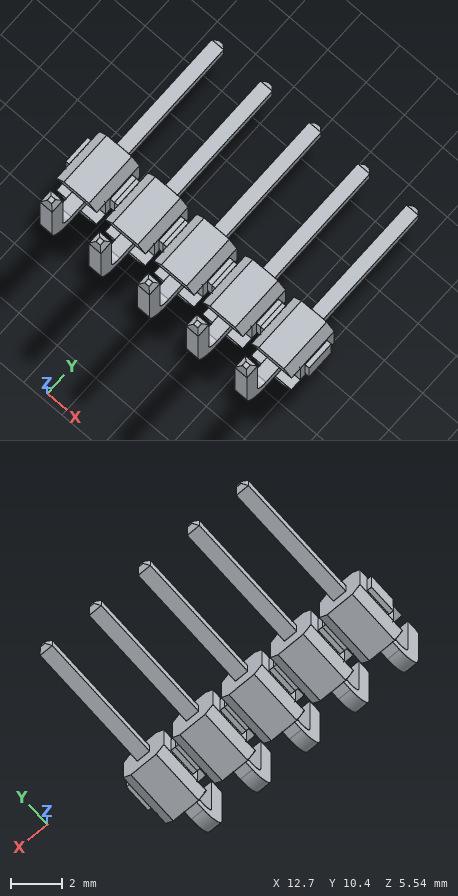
import cadquery as cq


positions = 5
overall_length = 12.7
pitch = overall_length / positions

block_width = 2.11
block_height = pitch
flange_depth = pitch
core_depth = 2.01
core_height = 1.74
bevel = (block_height - core_height) / 2

bar_depth = 1.31
bar_height = 1.33
bar_rear_gap = 0.43

pin_width = 0.64
pin_axis_z = 1.28
bend_inner_radius = 0.5
bend_outer_radius = bend_inner_radius + pin_width
overall_depth = 10.36
overall_height = 5.54
pin_front_reach = 4.34
pin_rear_reach = overall_depth - pin_front_reach
tip_taper = 0.2


def make_block(x):
    """Bevelled block, cut back between its flanges to leave an open front."""
    block = (
        cq.Workplane("XY")
        .box(block_width, flange_depth, block_height, centered=(True, False, False))
        .translate((x, -flange_depth, 0))
        .edges("|Y")
        .chamfer(bevel)
    )
    front_recess = (
        cq.Workplane("XY")
        .box(block_width, flange_depth - core_depth, core_height, centered=(True, False, False))
        .translate((x, -flange_depth, bevel))
    )
    return block.cut(front_recess)


def make_bar(x):
    """Bar that meets the bars of the neighbouring positions halfway between the blocks."""
    return (
        cq.Workplane("XY")
        .box(pitch, bar_depth, bar_height, centered=(True, False, True))
        .translate((x, -bar_rear_gap - bar_depth, pin_axis_z))
    )


def make_pin(x):
    """Square pin: a straight rear leg, a quarter bend and an upright front leg, with tapered tips."""
    bend_center_y = bend_outer_radius - pin_front_reach
    bend_center_z = pin_axis_z - pin_width / 2 + bend_outer_radius
    leg_section = (pin_width, pin_width)

    rear_leg = (
        cq.Workplane("XZ", origin=(x, bend_center_y, pin_axis_z))
        .rect(*leg_section)
        .extrude(bend_center_y - pin_rear_reach)
        .faces(">Y")
        .chamfer(tip_taper)
    )
    upright_leg = (
        cq.Workplane("XY", origin=(x, pin_width / 2 - pin_front_reach, bend_center_z))
        .rect(*leg_section)
        .extrude(overall_height - bend_center_z)
        .faces(">Z")
        .chamfer(tip_taper)
    )
    quarter = (
        cq.Workplane("YZ", origin=(x, bend_center_y, bend_center_z))
        .rect(2 * bend_outer_radius, 2 * bend_outer_radius)
        .extrude(pin_width / 2, both=True)
        .translate((0, -bend_outer_radius, -bend_outer_radius))
    )
    bend = (
        cq.Workplane("YZ", origin=(x, bend_center_y, bend_center_z))
        .circle(bend_outer_radius)
        .circle(bend_inner_radius)
        .extrude(pin_width / 2, both=True)
        .intersect(quarter)
    )
    return rear_leg.union(bend).union(upright_leg)


def make_position(x):
    """One header position as a single solid."""
    return make_block(x).union(make_bar(x)).union(make_pin(x))


header_positions = []
for index in range(positions):
    position_x = (index - (positions - 1) / 2) * pitch
    header_positions.append(make_position(position_x).val())

result = cq.Compound.makeCompound(header_positions)